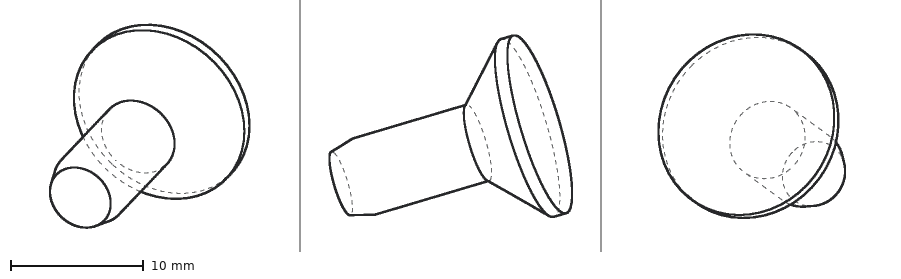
import cadquery as cq
import math

head_diameter = 14.0
shank_diameter = 6.0
tip_diameter = 5.0
total_length = 16.0
rim_thickness = 1.0
countersink_half_angle = 45.0
tip_half_angle = 15.0

head_radius = head_diameter / 2
shank_radius = shank_diameter / 2
tip_radius = tip_diameter / 2


def taper_length(large_radius, small_radius, half_angle):
    """Axial length of a cone running between two radii."""
    return (large_radius - small_radius) / math.tan(math.radians(half_angle))


rim_end = -rim_thickness
shank_start = rim_end - taper_length(head_radius, shank_radius, countersink_half_angle)
tip_end = -total_length
shank_end = tip_end + taper_length(shank_radius, tip_radius, tip_half_angle)


def countersunk_pin():
    """Head, countersink, shank and tapered tip as one revolved half profile."""
    half_profile = (
        cq.Workplane("XY")
        .moveTo(0, 0)
        .lineTo(head_radius, 0)
        .lineTo(head_radius, rim_end)
        .lineTo(shank_radius, shank_start)
        .lineTo(shank_radius, shank_end)
        .lineTo(tip_radius, tip_end)
        .lineTo(0, tip_end)
        .close()
    )
    return half_profile.revolve(360, (0, 0, 0), (0, 1, 0))


result = countersunk_pin()